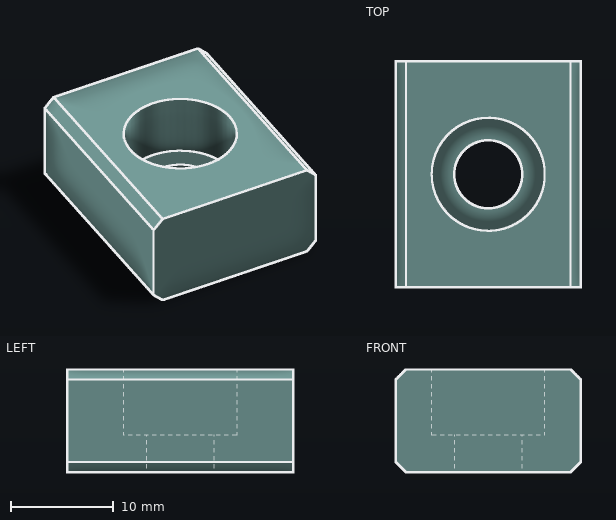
import cadquery as cq

width = 18.0
length = 22.0
height = 10.0
edge_chamfer = 1.0

hole_diameter = 6.6
counterbore_diameter = 11.0
counterbore_depth = 6.38

block = cq.Workplane("XY").box(width, length, height).edges("|Y").chamfer(edge_chamfer)

result = (
    block.faces(">Z")
    .workplane(centerOption="CenterOfBoundBox")
    .cboreHole(hole_diameter, counterbore_diameter, counterbore_depth)
)